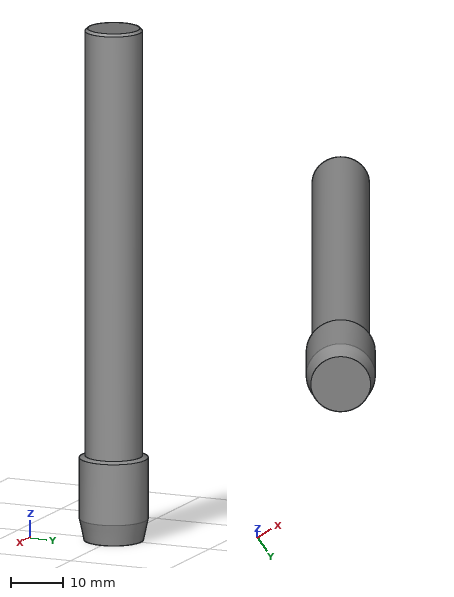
import cadquery as cq

total_length = 100.0
rod_diameter = 11.0
rod_top_chamfer = 0.5
tip_diameter = 13.2
tip_end_diameter = 11.4
tip_length = 16.5
tip_taper_length = 4.2
shoulder_bevel_height = 0.4

rod_radius = rod_diameter / 2
tip_radius = tip_diameter / 2
tip_end_radius = tip_end_diameter / 2


def make_tip():
    """Solid of revolution: tapered end, straight band and bevelled shoulder."""
    profile = [
        (0, 0),
        (tip_end_radius, 0),
        (tip_radius, tip_taper_length),
        (tip_radius, tip_length - shoulder_bevel_height),
        (rod_radius, tip_length),
        (0, tip_length),
    ]
    return cq.Workplane("XZ").polyline(profile).close().revolve(360, (0, 0), (0, 1))


def make_rod():
    """Plain round rod standing on the tip, with a chamfered top edge."""
    return (
        cq.Workplane("XY")
        .workplane(offset=tip_length)
        .circle(rod_radius)
        .extrude(total_length - tip_length)
        .faces(">Z")
        .chamfer(rod_top_chamfer)
    )


tip = make_tip()
rod = make_rod()

result = cq.Compound.makeCompound([tip.val(), rod.val()])